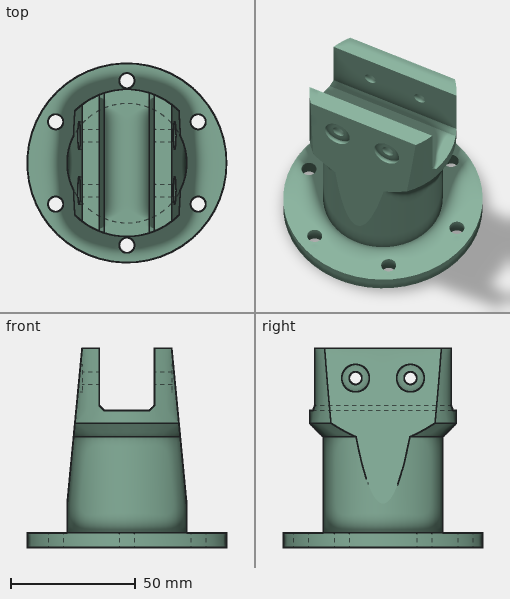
import cadquery as cq
import math

flange_diameter = 80
flange_thickness = 6.0
bolt_hole_diameter = 6.0
bolt_circle_diameter = 66.0
bolt_count = 6

total_height = 80
post_diameter = 48
head_diameter = 59.0
head_base_height = 50.0
flare_height = (head_diameter - post_diameter) / 2

flat_top_half_width = 18.0
flat_angle = 5.5

slot_width = 22.0
slot_floor_height = 55.0
slot_corner_chamfer = 2.0

pin_hole_diameter = 5.0
counterbore_diameter = 11.0
pin_spacing = 22.0
pin_height = 68
counterbore_seat_half_width = 18.0


def revolved_body():
    flange_radius = flange_diameter / 2
    post_radius = post_diameter / 2
    head_radius = head_diameter / 2
    return (
        cq.Workplane("XZ")
        .moveTo(0, 0)
        .lineTo(flange_radius, 0)
        .lineTo(flange_radius, flange_thickness)
        .lineTo(post_radius, flange_thickness)
        .lineTo(post_radius, head_base_height - flare_height)
        .lineTo(head_radius, head_base_height)
        .lineTo(head_radius, total_height)
        .lineTo(0, total_height)
        .close()
        .revolve(360, (0, 0, 0), (0, 1, 0))
    )


def tapered_envelope():
    """Wedge-sided prism that trims the post and head, leaving the flange whole."""
    taper_run = (total_height - flange_thickness) * math.tan(math.radians(flat_angle))
    bottom_half_width = flat_top_half_width + taper_run
    wedge = (
        cq.Workplane("XZ")
        .moveTo(-bottom_half_width, flange_thickness)
        .lineTo(bottom_half_width, flange_thickness)
        .lineTo(flat_top_half_width, total_height)
        .lineTo(-flat_top_half_width, total_height)
        .close()
        .extrude(flange_diameter / 2, both=True)
    )
    flange = cq.Workplane("XY").circle(flange_diameter / 2).extrude(flange_thickness)
    return wedge.union(flange)


def head_slot():
    slot_depth = total_height - slot_floor_height
    return (
        cq.Workplane("XY")
        .workplane(offset=slot_floor_height)
        .rect(slot_width, head_diameter)
        .extrude(slot_depth)
        .edges("|Y and <Z")
        .chamfer(slot_corner_chamfer)
    )


def bolt_holes():
    return (
        cq.Workplane("XY")
        .polarArray(bolt_circle_diameter / 2, 90, 360, bolt_count)
        .circle(bolt_hole_diameter / 2)
        .extrude(flange_thickness)
    )


def pin_holes():
    """Through holes along X with a flat-bottomed counterbore on each outer face."""
    centers = [(-pin_spacing / 2, pin_height), (pin_spacing / 2, pin_height)]
    cutters = (
        cq.Workplane("YZ").pushPoints(centers)
        .circle(pin_hole_diameter / 2)
        .extrude(post_diameter / 2, both=True)
    )
    for side in (-1, 1):
        counterbores = (
            cq.Workplane("YZ", origin=(side * counterbore_seat_half_width, 0, 0))
            .pushPoints(centers)
            .circle(counterbore_diameter / 2)
            .extrude(side * post_diameter / 2)
        )
        cutters = cutters.union(counterbores)
    return cutters


result = (
    revolved_body()
    .intersect(tapered_envelope())
    .cut(head_slot())
    .cut(bolt_holes())
    .cut(pin_holes())
)